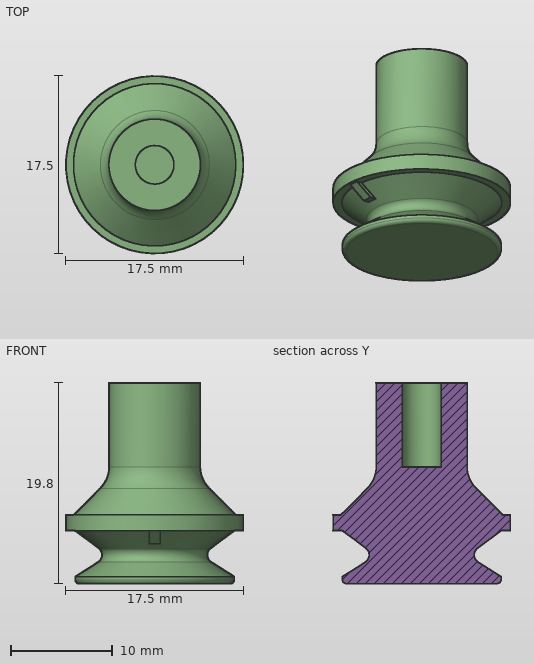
import cadquery as cq
import math

total_height = 19.8
stem_bottom = 11.52
rim_top = 6.8
rim_bottom = 5.25
neck_top = 3.46
neck_bottom = 2.15
lip_top = 0.71

bore_radius = 3.8 / 2
stem_radius = 9.0 / 2
rim_radius = 17.5 / 2
lip_radius = 15.7 / 2
shoulder_radius = 8.0
under_rim_radius = 7.88
neck_radius = 5.2
neck_top_radius = 5.48
neck_bottom_radius = 5.56

bore_floor = stem_bottom

stem_fillet = 2.97
lip_fillet = 0.42
shoulder_angle = math.radians(45)

rib_width = 1.1
rib_bottom = 3.96
rib_top_radius = 8.42
rib_bottom_radius = 6.73
rib_root_radius = 5.55


def point_on_arc(center_x, center_z, radius, angle):
    """Point on a circle at the given angle from the radial direction."""
    return (center_x + radius * math.cos(angle), center_z + radius * math.sin(angle))


def make_body():
    """Revolved bellows outline: stem, shoulder, rim, neck and sealing lip."""
    stem_arc_x = stem_radius + stem_fillet
    stem_arc_middle = point_on_arc(stem_arc_x, stem_bottom, stem_fillet, math.pi + shoulder_angle / 2)
    stem_arc_end = point_on_arc(stem_arc_x, stem_bottom, stem_fillet, math.pi + shoulder_angle)
    lip_arc_x = lip_radius - lip_fillet
    lip_arc_middle = point_on_arc(lip_arc_x, lip_fillet, lip_fillet, -math.pi / 4)
    neck_middle = (neck_radius, (neck_top + neck_bottom) / 2)
    outline = (
        cq.Workplane("XZ")
        .moveTo(0, total_height)
        .lineTo(stem_radius, total_height)
        .lineTo(stem_radius, stem_bottom)
        .threePointArc(stem_arc_middle, stem_arc_end)
        .lineTo(shoulder_radius, rim_top)
        .lineTo(rim_radius, rim_top)
        .lineTo(rim_radius, rim_bottom)
        .lineTo(under_rim_radius, rim_bottom)
        .lineTo(neck_top_radius, neck_top)
        .threePointArc(neck_middle, (neck_bottom_radius, neck_bottom))
        .lineTo(lip_radius, lip_top)
        .lineTo(lip_radius, lip_fillet)
        .threePointArc(lip_arc_middle, (lip_arc_x, 0))
        .lineTo(0, 0)
        .close()
    )
    return outline.revolve(360, (0, 0, 0), (0, 1, 0))


def make_rib():
    """Narrow sloping rib that follows the cone under the rim."""
    return (
        cq.Workplane("YZ")
        .moveTo(-rib_root_radius, rim_bottom)
        .lineTo(-rib_top_radius, rim_bottom)
        .lineTo(-rib_bottom_radius, rib_bottom)
        .lineTo(-rib_root_radius, rib_bottom)
        .close()
        .extrude(rib_width / 2, both=True)
    )


def make_bore():
    """Flat-bottomed blind bore, as deep as the straight stem."""
    floor = cq.Workplane("XY").workplane(offset=bore_floor)
    return floor.circle(bore_radius).extrude(total_height - bore_floor)


result = make_body().union(make_rib()).cut(make_bore())